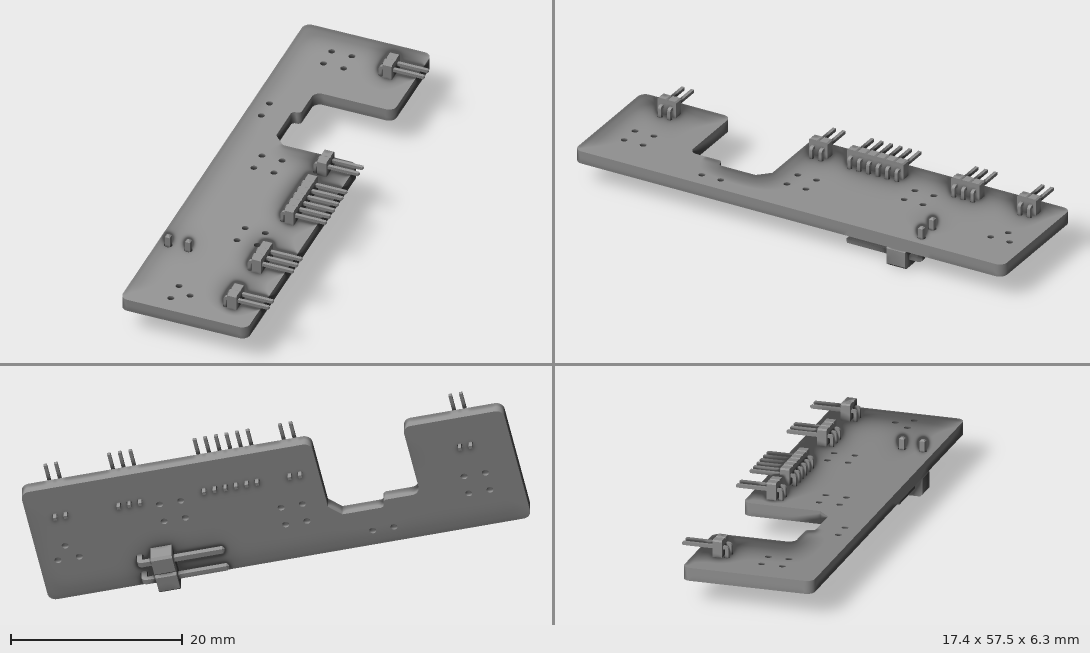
import cadquery as cq

BOARD_LENGTH = 57.5
BOARD_WIDTH = 16.0
BOARD_THICKNESS = 1.6
CORNER_RADIUS = 1.0

NOTCH_BOTTOM = 34.6
NOTCH_STEP = 41.05
NOTCH_TOP = 45.55
NOTCH_UPPER_X = 6.1
NOTCH_LOWER_X = 5.05
NOTCH_TOP_RADIUS = 1.0
NOTCH_BOTTOM_CHAMFER = 1.45
STEP_RADIUS = 0.45

HOLE_DIAMETER = 0.8
HOLE_PITCH = 2.55
SQUARE_GROUP_CENTRES = [(6.2, 52.3), (6.25, 30.55), (9.7, 16.8)]
PAIR_CENTRE = (2.0, 40.25)
TRIO_CENTRE = (5.5, 3.5)
TRIO_OFFSET = 1.9

SMALL_PITCH = 1.25
SMALL_PIN_WIDTH = 0.4
SMALL_PIN_HOLE = 0.65
SMALL_TAIL_X = 11.95
SMALL_TAIL_STICKOUT = 0.7
SMALL_HEADERS = [(2, 52.15), (2, 31.85), (6, 24.2), (3, 12.15), (2, 3.9)]
SMALL_SIZES = dict(
    pitch=SMALL_PITCH,
    pin_width=SMALL_PIN_WIDTH,
    axis_height=1.2,
    bend_radius=SMALL_PIN_WIDTH,
    tail_depth=BOARD_THICKNESS + SMALL_TAIL_STICKOUT,
    tail_taper=0.0,
    reach=5.5,
    tip_taper=0.1,
    housing_start=0.45,
    housing_depth=1.15,
    housing_gap=0.1,
    housing_height=2.05,
    housing_top_chamfer=0.2,
    housing_base_chamfer=0.0,
)

LARGE_PITCH = HOLE_PITCH
LARGE_PIN_WIDTH = 0.65
LARGE_PIN_HOLE = 1.0
LARGE_PIN_COUNT = 2
LARGE_CENTRE_X = 2.65
LARGE_TAIL_Y = 11.7
LARGE_TAIL_STICKOUT = 1.45
LARGE_SIZES = dict(
    pitch=LARGE_PITCH,
    pin_width=LARGE_PIN_WIDTH,
    axis_height=LARGE_PITCH / 2,
    bend_radius=LARGE_PIN_WIDTH,
    tail_depth=BOARD_THICKNESS + LARGE_TAIL_STICKOUT,
    tail_taper=0.2,
    reach=10.05,
    tip_taper=0.25,
    housing_start=1.5,
    housing_depth=LARGE_PITCH,
    housing_gap=0.0,
    housing_height=LARGE_PITCH,
    housing_top_chamfer=0.3,
    housing_base_chamfer=0.3,
)


def row_offsets(count, pitch):
    """Positions of evenly spaced items about the middle of their row."""
    return [(i - (count - 1) / 2) * pitch for i in range(count)]


def make_bent_pin(pin_width, axis_height, bend_radius, tail_depth, tail_taper, reach, tip_taper):
    """Square right-angle pin in the XZ plane: tail down the Z axis, free end along +X."""
    half = pin_width / 2
    tail_length = tail_depth + axis_height + half
    tail = cq.Workplane("XY").box(pin_width, pin_width, tail_length, centered=(True, True, False))
    tail = tail.translate((0, 0, -tail_depth))
    free_end = cq.Workplane("XY").box(half + reach, pin_width, pin_width, centered=(False, True, True))
    free_end = free_end.translate((-half, 0, axis_height))
    pin = tail.union(free_end)
    outer_corner = cq.selectors.NearestToPointSelector((-half, 0, axis_height + half))
    pin = pin.edges("|Y").edges(outer_corner).fillet(bend_radius)
    pin = pin.faces(">X").chamfer(tip_taper)
    if tail_taper:
        pin = pin.faces("<Z").chamfer(tail_taper)
    return pin


def make_housing(count, pitch, depth, height, top_chamfer, base_chamfer):
    """Row of chamfered cells side by side along Y, standing on Z = 0 from X = 0 to `depth`."""
    cell = cq.Workplane("XY").box(depth, pitch, height, centered=(False, True, False))
    cell = cell.faces(">Z").edges("|X").chamfer(top_chamfer)
    if base_chamfer:
        cell = cell.faces("<Z").edges("|X").chamfer(base_chamfer)
    housing = cq.Workplane("XY")
    for y in row_offsets(count, pitch):
        housing = housing.union(cell.translate((0, y, 0)))
    return housing


def make_header(
    count,
    pitch,
    housing_start,
    housing_depth,
    housing_gap,
    housing_height,
    housing_top_chamfer,
    housing_base_chamfer,
    **pin_sizes,
):
    """Housing and its pins as one solid, `housing_gap` above Z = 0 with the tails in a row along Y."""
    header = make_housing(
        count, pitch, housing_depth, housing_height, housing_top_chamfer, housing_base_chamfer
    )
    header = header.translate((housing_start, 0, housing_gap))
    pin = make_bent_pin(**pin_sizes)
    for y in row_offsets(count, pitch):
        header = header.union(pin.translate((0, y, 0)))
    return header


def rounded(board, x, y, radius):
    """Fillet the vertical board edge at (x, y)."""
    corner = cq.selectors.NearestToPointSelector((x, y, BOARD_THICKNESS / 2))
    return board.edges("|Z").edges(corner).fillet(radius)


def make_board_blank():
    corners = [
        (0, 0, CORNER_RADIUS),
        (BOARD_WIDTH, 0, CORNER_RADIUS),
        (BOARD_WIDTH, NOTCH_BOTTOM, CORNER_RADIUS),
        (NOTCH_LOWER_X + NOTCH_BOTTOM_CHAMFER, NOTCH_BOTTOM, 0),
        (NOTCH_LOWER_X, NOTCH_BOTTOM + NOTCH_BOTTOM_CHAMFER, 0),
        (NOTCH_LOWER_X, NOTCH_STEP, STEP_RADIUS),
        (NOTCH_UPPER_X, NOTCH_STEP, STEP_RADIUS),
        (NOTCH_UPPER_X, NOTCH_TOP, NOTCH_TOP_RADIUS),
        (BOARD_WIDTH, NOTCH_TOP, CORNER_RADIUS),
        (BOARD_WIDTH, BOARD_LENGTH, CORNER_RADIUS),
        (0, BOARD_LENGTH, CORNER_RADIUS),
    ]
    outline = [(x, y) for x, y, radius in corners]
    board = cq.Workplane("XY").polyline(outline).close().extrude(BOARD_THICKNESS)
    for x, y, radius in corners:
        if radius:
            board = rounded(board, x, y, radius)
    return board


def empty_hole_centres():
    offsets = row_offsets(2, HOLE_PITCH)
    centres = [(x + dx, y + dy) for x, y in SQUARE_GROUP_CENTRES for dx in offsets for dy in offsets]
    for x, y in [PAIR_CENTRE, TRIO_CENTRE]:
        centres += [(x, y + dy) for dy in offsets]
    centres.append((TRIO_CENTRE[0] + TRIO_OFFSET, TRIO_CENTRE[1]))
    return centres


def drilled(board, centres, diameter):
    drills = cq.Workplane("XY").pushPoints(centres).circle(diameter / 2).extrude(BOARD_THICKNESS)
    return board.cut(drills)


def make_board():
    small_pins = [
        (SMALL_TAIL_X, row_y + dy)
        for count, row_y in SMALL_HEADERS
        for dy in row_offsets(count, SMALL_PITCH)
    ]
    large_pins = [(LARGE_CENTRE_X + dx, LARGE_TAIL_Y) for dx in row_offsets(LARGE_PIN_COUNT, LARGE_PITCH)]
    board = make_board_blank()
    board = drilled(board, empty_hole_centres(), HOLE_DIAMETER)
    board = drilled(board, small_pins, SMALL_PIN_HOLE)
    return drilled(board, large_pins, LARGE_PIN_HOLE)


def make_small_headers():
    return [
        make_header(count, **SMALL_SIZES).translate((SMALL_TAIL_X, row_y, BOARD_THICKNESS))
        for count, row_y in SMALL_HEADERS
    ]


def make_large_header():
    """Header turned upside down under the board, with its row along X."""
    header = make_header(LARGE_PIN_COUNT, **LARGE_SIZES)
    header = header.rotate((0, 0, 0), (1, 0, 0), 180)
    header = header.rotate((0, 0, 0), (0, 0, 1), 90)
    return header.translate((LARGE_CENTRE_X, LARGE_TAIL_Y, 0))


board = make_board()
small_headers = make_small_headers()
large_header = make_large_header()

result = cq.Compound.makeCompound([
    board.val(),
    *[header.val() for header in small_headers],
    large_header.val(),
])